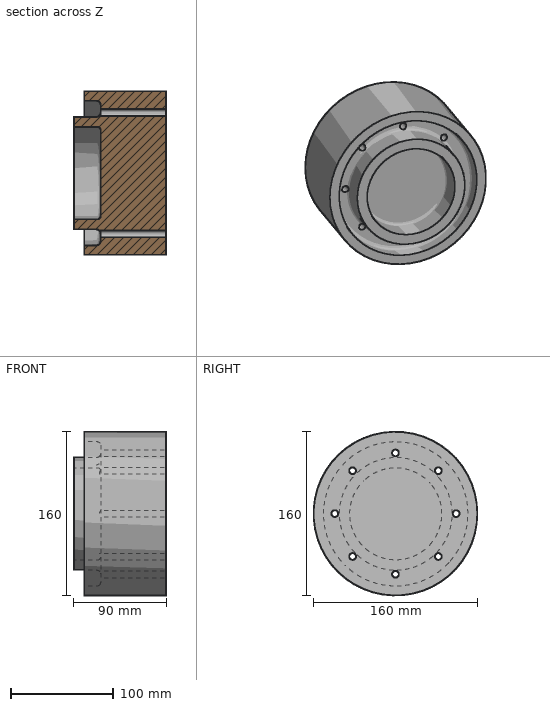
import cadquery as cq

body_diameter = 160.0
body_length = 80.0
hub_diameter = 110.0
hub_projection = 10.0
total_length = hub_projection + body_length

groove_diameter = 141.0
groove_depth = 16.0
groove_fillet = 4.0

bore_diameter = 90.0
bore_depth = 26.0
bore_fillet = 3.0

hole_count = 8
hole_diameter = 6.4
hole_circle_diameter = 118.4


def cylinder(diameter, start, length):
    """Cylinder along +X from the plane X = start."""
    return cq.Workplane("YZ", origin=(start, 0, 0)).circle(diameter / 2).extrude(length)


def make_groove():
    """Ring to remove around the hub, with both floor corners rounded."""
    outside = cylinder(groove_diameter, hub_projection, groove_depth)
    ring = outside.cut(cylinder(hub_diameter, hub_projection, groove_depth))
    return ring.faces(">X").edges().fillet(groove_fillet)


def make_bore():
    """Blind bore with a rounded floor corner."""
    return cylinder(bore_diameter, 0, bore_depth).faces(">X").edges().fillet(bore_fillet)


def make_holes():
    """Evenly spaced holes running the full length of the part."""
    return (
        cq.Workplane("YZ")
        .polarArray(hole_circle_diameter / 2, 0, 360, hole_count)
        .circle(hole_diameter / 2)
        .extrude(total_length)
    )


body = cylinder(body_diameter, hub_projection, body_length)
hub = cylinder(hub_diameter, 0, total_length)
result = body.union(hub).cut(make_groove()).cut(make_bore()).cut(make_holes())